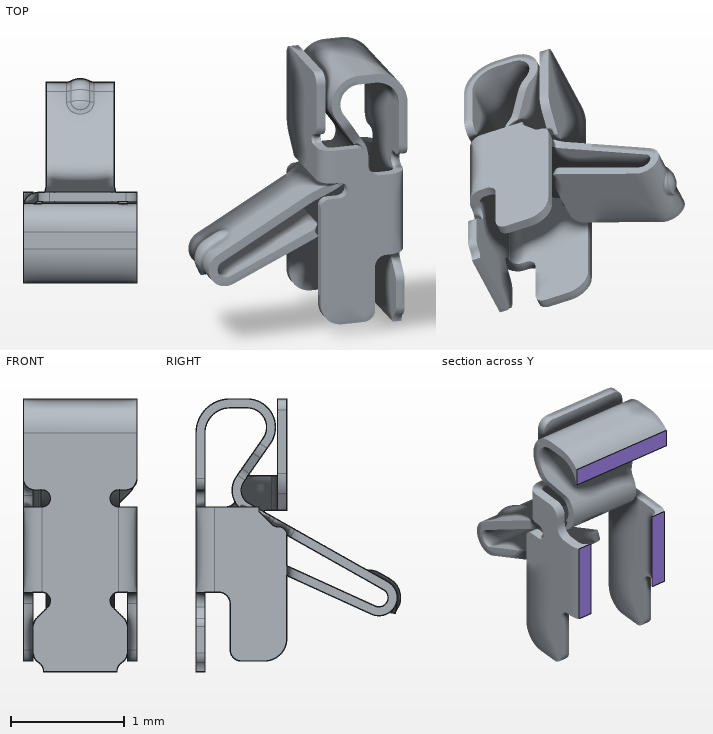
import cadquery as cq
import math


QUARTER = math.pi / 2
SHORTEST_LINE = 1e-6

HALF_WIDTH = 0.5
TOP_Z = 2.4
SPRING_STOCK = 0.08
WALL_STOCK = 0.085
BACK_Y = 0.8
CORNER = 0.1

FRONT_BEND_R = 0.163
BEND_BOTTOM_Z = 0.7
BEND_TOP_Z = 1.45
RELIEF_R = 0.075
BEND_X = HALF_WIDTH - FRONT_BEND_R

FOOT_HALF_WIDTH = 0.3225
HIP_HALF_WIDTH = 0.4135

LEG_FRONT_Y = 0.3
LEG_BOTTOM_Z = 0.095
LEG_BACK_CORNER = 0.2
SHOULDER_Z = 1.275
SLOT_TOP_Z = 1.42
SLOT_R = (SLOT_TOP_Z - SHOULDER_Z) / 2
SLOT_END_Y = 0.555
RAMP_HEIGHT = 0.135
WALL_TOP_Z = 1.725
WALL_TOP_FRONT_Y = 0.36

BACK_BEND_R = 0.134
BACK_BEND_X = -HALF_WIDTH + BACK_BEND_R
BACK_BEND_Y = BACK_Y - BACK_BEND_R
TAB_LEFT_X = -0.37
TAB_RELIEF_TOP_Z = 1.815
TAB_RELIEF_R = (TAB_RELIEF_TOP_Z - WALL_TOP_Z) / 2
TAB_SLOPE_X = 0.28
TAB_SLOPE_CORNER = 0.25

FRONT_LOOP_OUTER_R = 0.3
BACK_LOOP_OUTER_R = 0.25
NECK_OUTER_R = 0.21
TIP_OUTER_R = 0.16
FRONT_LOOP_R = FRONT_LOOP_OUTER_R - SPRING_STOCK / 2
BACK_LOOP_R = BACK_LOOP_OUTER_R - SPRING_STOCK / 2
NECK_R = NECK_OUTER_R - SPRING_STOCK / 2
TIP_R = TIP_OUTER_R - SPRING_STOCK / 2
FRONT_LOOP = (FRONT_LOOP_OUTER_R, TOP_Z - FRONT_LOOP_OUTER_R)
BACK_LOOP = (0.45, TOP_Z - BACK_LOOP_OUTER_R)
NECK = (0.527, 1.596)
TIP = (1.608, 0.653)
NECK_HALF_WIDTH = 0.345
ARM_HALF_WIDTH = 0.3
SLANT_TAPER = (0.108, 0.356)
SLANT_TAPER_CORNERS = (0.2, 0.13)
ARM_TAPER = (0.24, 0.445)
ARM_TAPER_CORNER = 0.2
RETURN_HEADING = math.radians(-204.5)
RETURN_LENGTH = 0.913

BEAD_HALF_WIDTH = 0.12
BEAD_CROWN_HALF_WIDTH = 0.082
BEAD_HEIGHT = 0.032
BEAD_LENGTH = 0.11
BEAD_LOWER_ANGLE = math.radians(-7)


def rounded_outline(plane, corners):
    """Closed outline through (u, v, radius) corners; a radius of 0 leaves the corner sharp."""
    count = len(corners)
    outline = None
    for i, (u, v, radius) in enumerate(corners):
        here = cq.Vector(u, v)
        to_last = (cq.Vector(*corners[i - 1][:2]) - here).normalized()
        to_next = (cq.Vector(*corners[(i + 1) % count][:2]) - here).normalized()
        half_angle = to_last.getAngle(to_next) / 2
        setback = radius / math.tan(half_angle)
        start = here + to_last * setback
        end = here + to_next * setback
        if outline is None:
            outline = cq.Workplane(plane).moveTo(start.x, start.y)
            pen = start
        if (start - pen).Length > SHORTEST_LINE:
            outline = outline.lineTo(start.x, start.y)
        if radius:
            bisector = (to_last + to_next).normalized()
            middle = here + bisector * (radius / math.sin(half_angle) - radius)
            outline = outline.threePointArc((middle.x, middle.y), (end.x, end.y))
        pen = end
    return outline.close()


def mirrored(corners):
    """Complete a right-hand list of (u, v, radius) corners with its mirror image in u."""
    return corners + [(-u, v, radius) for u, v, radius in reversed(corners)]


def polar(centre, radius, angle):
    return (centre[0] + radius * math.cos(angle), centre[1] + radius * math.sin(angle))


def bend(plane, centre, inner, outer, start, end):
    """Closed outline of a bent-sheet section: a ring sector between two angles."""
    middle = (start + end) / 2
    return (
        cq.Workplane(plane)
        .moveTo(*polar(centre, outer, start))
        .threePointArc(polar(centre, outer, middle), polar(centre, outer, end))
        .lineTo(*polar(centre, inner, end))
        .threePointArc(polar(centre, inner, middle), polar(centre, inner, start))
        .close()
    )



def front_plate():
    plane = cq.Plane(origin=(0, 0, 0), xDir=(1, 0, 0), normal=(0, -1, 0))
    foot_swing = math.acos(1 - (HIP_HALF_WIDTH - FOOT_HALF_WIDTH) / (2 * CORNER))
    foot_setback = CORNER * math.tan(foot_swing / 2)
    foot_height = 2 * CORNER * math.sin(foot_swing)
    relief_x = BEND_X - RELIEF_R
    waist_z = BEND_BOTTOM_Z - RELIEF_R - RELIEF_R * math.tan(QUARTER / 4)
    hip_z = waist_z - (HIP_HALF_WIDTH - relief_x)
    relief_top_z = BEND_TOP_Z + 2 * RELIEF_R
    right_side = [
        (FOOT_HALF_WIDTH, 0, 0),
        (FOOT_HALF_WIDTH, foot_setback, CORNER),
        (HIP_HALF_WIDTH, foot_height - foot_setback, CORNER),
        (HIP_HALF_WIDTH, hip_z, CORNER),
        (relief_x, waist_z, RELIEF_R),
        (relief_x, BEND_BOTTOM_Z, RELIEF_R),
        (BEND_X, BEND_BOTTOM_Z, 0),
        (BEND_X, BEND_TOP_Z, 0),
        (relief_x, BEND_TOP_Z, RELIEF_R),
        (relief_x, relief_top_z, RELIEF_R),
        (HALF_WIDTH, relief_top_z, CORNER),
        (HALF_WIDTH, FRONT_LOOP[1], 0),
    ]
    return rounded_outline(plane, mirrored(right_side)).extrude(-SPRING_STOCK)


def front_bend(side):
    """Bend between the front plate and one wall; side is -1 (left) or 1 (right)."""
    plane = cq.Plane(origin=(0, 0, BEND_BOTTOM_Z))
    centre = (side * BEND_X, FRONT_BEND_R)
    inner_r = FRONT_BEND_R - WALL_STOCK
    section = bend(plane, centre, inner_r, FRONT_BEND_R, -QUARTER, (side - 1) * QUARTER)
    return section.extrude(BEND_TOP_Z - BEND_BOTTOM_Z)



def wall(inner_x, top_corners):
    """Side wall from inner_x towards +X; top_corners complete the common lower outline."""
    plane = cq.Plane(origin=(inner_x, 0, 0), xDir=(0, 1, 0), normal=(1, 0, 0))
    lower_corners = [
        (FRONT_BEND_R, BEND_TOP_Z, 0),
        (FRONT_BEND_R, BEND_BOTTOM_Z, 0),
        (LEG_FRONT_Y, BEND_BOTTOM_Z, CORNER),
        (LEG_FRONT_Y, LEG_BOTTOM_Z, CORNER),
        (BACK_Y, LEG_BOTTOM_Z, LEG_BACK_CORNER),
        (BACK_Y, SHOULDER_Z, SLOT_R),
    ]
    return rounded_outline(plane, lower_corners + top_corners).extrude(WALL_STOCK)


def left_wall():
    top_corners = [
        (SLOT_END_Y, SHOULDER_Z, SLOT_R),
        (SLOT_END_Y, SLOT_TOP_Z, SLOT_R),
        (BACK_BEND_Y, SLOT_TOP_Z, 0),
        (BACK_BEND_Y, WALL_TOP_Z, 0),
        (WALL_TOP_FRONT_Y, WALL_TOP_Z, CORNER),
        (WALL_TOP_FRONT_Y, BEND_TOP_Z, CORNER),
    ]
    return wall(-HALF_WIDTH, top_corners)


def right_wall():
    """The right wall stops at the bend top and ramps down at 45 degrees to its shoulder."""
    top_corners = [
        (SLOT_END_Y + RAMP_HEIGHT, SHOULDER_Z, SLOT_R),
        (SLOT_END_Y, SHOULDER_Z + RAMP_HEIGHT, 0),
        (SLOT_END_Y, BEND_TOP_Z, 0),
    ]
    return wall(HALF_WIDTH - WALL_STOCK, top_corners)


def back_bend():
    plane = cq.Plane(origin=(0, 0, SLOT_TOP_Z))
    centre = (BACK_BEND_X, BACK_BEND_Y)
    section = bend(plane, centre, BACK_BEND_R - WALL_STOCK, BACK_BEND_R, QUARTER, 2 * QUARTER)
    return section.extrude(WALL_TOP_Z - SLOT_TOP_Z)


def back_tab():
    plane = cq.Plane(origin=(0, BACK_Y, 0), xDir=(1, 0, 0), normal=(0, -1, 0))
    relief_x = TAB_LEFT_X + CORNER + TAB_RELIEF_R
    corners = [
        (BACK_BEND_X, SLOT_TOP_Z, 0),
        (TAB_SLOPE_X, SLOT_TOP_Z, 0),
        (HALF_WIDTH, SLOT_TOP_Z + HALF_WIDTH - TAB_SLOPE_X, TAB_SLOPE_CORNER),
        (HALF_WIDTH, TOP_Z, CORNER),
        (TAB_LEFT_X, TOP_Z, CORNER),
        (TAB_LEFT_X, TAB_RELIEF_TOP_Z, CORNER),
        (relief_x, TAB_RELIEF_TOP_Z, TAB_RELIEF_R),
        (relief_x, WALL_TOP_Z, TAB_RELIEF_R),
        (BACK_BEND_X, WALL_TOP_Z, 0),
    ]
    return rounded_outline(plane, corners).extrude(WALL_STOCK)



def cross_tangent(first, first_r, second, second_r, turn):
    """Heading and length of the straight run between two bends that turn opposite ways.

    turn is 1 when the first bend is anticlockwise in (Y, Z) and -1 when it is clockwise.
    """
    dy = second[0] - first[0]
    dz = second[1] - first[1]
    distance = math.hypot(dy, dz)
    heading = math.atan2(dz, dy) + turn * math.asin((first_r + second_r) / distance)
    length = math.sqrt(distance**2 - (first_r + second_r) ** 2)
    return heading, length


def strip_bend(centre, radius, start, end, half_width):
    half = SPRING_STOCK / 2
    return bend("YZ", centre, radius - half, radius + half, start, end).extrude(half_width, both=True)


def strip_flat(start, heading, edge):
    """Flat run of strip; edge lists (distance along, half width, corner radius)."""
    along = (0, math.cos(heading), math.sin(heading))
    across = (-1, 0, 0)
    normal = cq.Vector(*along).cross(cq.Vector(*across))
    plane = cq.Plane(origin=(0, *start), xDir=across, normal=-normal)
    side = [(half_width, distance, radius) for distance, half_width, radius in edge]
    return rounded_outline(plane, mirrored(side)).extrude(SPRING_STOCK / 2, both=True)


SLANT_HEADING, SLANT_LENGTH = cross_tangent(BACK_LOOP, BACK_LOOP_R, NECK, NECK_R, -1)
ARM_HEADING, ARM_LENGTH = cross_tangent(NECK, NECK_R, TIP, TIP_R, 1)


def top_loop():
    front = strip_bend(FRONT_LOOP, FRONT_LOOP_R, 2 * QUARTER, QUARTER, HALF_WIDTH)
    top_start = polar(FRONT_LOOP, FRONT_LOOP_R, QUARTER)
    top_length = BACK_LOOP[0] - FRONT_LOOP[0]
    top = strip_flat(top_start, 0, [(0, HALF_WIDTH, 0), (top_length, HALF_WIDTH, 0)])
    back = strip_bend(BACK_LOOP, BACK_LOOP_R, QUARTER, SLANT_HEADING + QUARTER, HALF_WIDTH)
    return front.union(top).union(back)


def slant():
    edge = [
        (0, HALF_WIDTH, 0),
        (SLANT_TAPER[0], HALF_WIDTH, SLANT_TAPER_CORNERS[0]),
        (SLANT_TAPER[1], NECK_HALF_WIDTH, SLANT_TAPER_CORNERS[1]),
        (SLANT_LENGTH, NECK_HALF_WIDTH, 0),
    ]
    return strip_flat(polar(BACK_LOOP, BACK_LOOP_R, SLANT_HEADING + QUARTER), SLANT_HEADING, edge)


def spring_arm():
    neck = strip_bend(NECK, NECK_R, SLANT_HEADING - QUARTER, ARM_HEADING - QUARTER, NECK_HALF_WIDTH)
    upper_edge = [
        (0, NECK_HALF_WIDTH, 0),
        (ARM_TAPER[0], NECK_HALF_WIDTH, ARM_TAPER_CORNER),
        (ARM_TAPER[1], ARM_HALF_WIDTH, ARM_TAPER_CORNER),
        (ARM_LENGTH, ARM_HALF_WIDTH, 0),
    ]
    upper = strip_flat(polar(NECK, NECK_R, ARM_HEADING - QUARTER), ARM_HEADING, upper_edge)
    tip = strip_bend(TIP, TIP_R, ARM_HEADING + QUARTER, RETURN_HEADING + QUARTER, ARM_HALF_WIDTH)
    return_edge = [(0, ARM_HALF_WIDTH, 0), (RETURN_LENGTH, ARM_HALF_WIDTH, CORNER)]
    lower = strip_flat(polar(TIP, TIP_R, RETURN_HEADING + QUARTER), RETURN_HEADING, return_edge)
    return neck.union(upper).union(tip).union(lower)



def bead_section(plane, base, whole):
    """Bead section: a crown arc running into a foot arc on each side, closed below the base.

    The right half alone is drawn when whole is False.
    """
    swing = 2 * math.atan(BEAD_HEIGHT / BEAD_HALF_WIDTH)
    crown_r = BEAD_CROWN_HALF_WIDTH / math.sin(swing)
    foot_r = (BEAD_HALF_WIDTH - BEAD_CROWN_HALF_WIDTH) / math.sin(swing)
    crown = (0, base + BEAD_HEIGHT - crown_r)
    root = base - SPRING_STOCK / 2
    left_foot = (-BEAD_HALF_WIDTH, base + foot_r)
    right_foot = (BEAD_HALF_WIDTH, base + foot_r)
    crown_end = polar(crown, crown_r, QUARTER - swing)
    section = cq.Workplane(plane)
    if whole:
        section = (
            section.moveTo(-BEAD_HALF_WIDTH, root)
            .lineTo(-BEAD_HALF_WIDTH, base)
            .threePointArc(
                polar(left_foot, foot_r, -QUARTER + swing / 2),
                polar(left_foot, foot_r, -QUARTER + swing),
            )
            .threePointArc(polar(crown, crown_r, QUARTER), crown_end)
        )
    else:
        section = (
            section.moveTo(0, root)
            .lineTo(0, base + BEAD_HEIGHT)
            .threePointArc(polar(crown, crown_r, QUARTER - swing / 2), crown_end)
        )
    return (
        section.threePointArc(
            polar(right_foot, foot_r, -QUARTER - swing / 2),
            (BEAD_HALF_WIDTH, base),
        )
        .lineTo(BEAD_HALF_WIDTH, root)
        .close()
    )


def bead_plane(shift, angle):
    """Plane across the strip with V along the given angle, shifted back from the tip along the arm."""
    y, z = polar(TIP, -shift, ARM_HEADING)
    normal = (0, -math.sin(angle), math.cos(angle))
    return cq.Plane(origin=(0, y, z), xDir=(1, 0, 0), normal=normal)


def bead_end(plane, base):
    """Round end of the bead: the section spun about its own centre line."""
    return bead_section(plane, base, False).revolve(360, (0, 0), (0, 1))


def bead():
    upper_angle = ARM_HEADING + QUARTER
    sweep = math.degrees(upper_angle - BEAD_LOWER_ANGLE)
    tip_start = bead_plane(0, upper_angle)
    tip_end = bead_plane(0, BEAD_LOWER_ANGLE)
    straight = bead_section(tip_start, TIP_OUTER_R, True).extrude(BEAD_LENGTH)
    wrap = bead_section(tip_end, TIP_OUTER_R, True).revolve(sweep, (0, 0), (1, 0))
    upper_end = bead_end(bead_plane(BEAD_LENGTH, upper_angle), TIP_OUTER_R)
    lower_end = bead_end(tip_end, TIP_OUTER_R)
    return straight.union(wrap).union(upper_end).union(lower_end)


result = front_plate()
for piece in (
    front_bend(-1),
    front_bend(1),
    left_wall(),
    right_wall(),
    back_bend(),
    back_tab(),
    top_loop(),
    slant(),
    spring_arm(),
    bead(),
):
    result = result.union(piece)